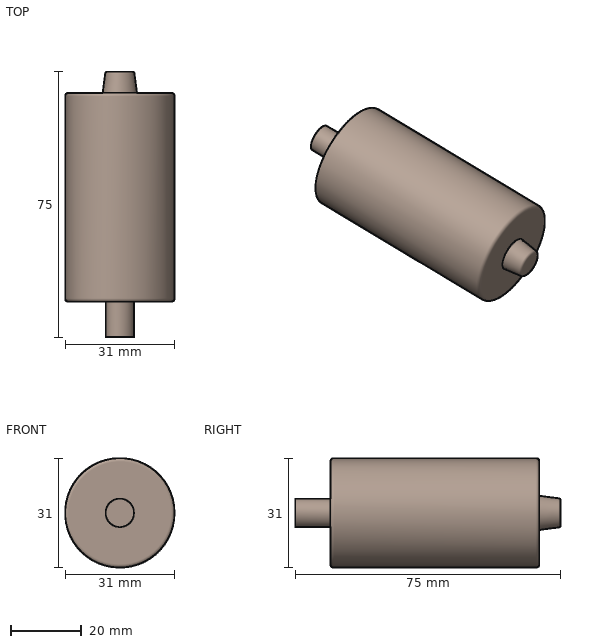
import cadquery as cq

total_length = 75.0
can_diameter = 31.0
can_edge_radius = 1.0
pin_diameter = 8.0
pin_length = 10.0
boss_length = 6.0
boss_base_diameter = 9.75
boss_tip_diameter = 8.2
boss_edge_radius = 0.7

can_length = total_length - pin_length - boss_length
pin_end_y = -total_length / 2
can_front_y = pin_end_y + pin_length
can_rear_y = can_front_y + can_length


def disc_at(y, diameter):
    """Circle around the Y axis, ready to extrude toward +Y."""
    return cq.Workplane("XZ", origin=(0, y, 0)).circle(diameter / 2)


def make_can():
    """Round can with both rims rounded and the plain pin standing on its front face."""
    can = disc_at(can_front_y, can_diameter).extrude(-can_length)
    can = can.edges("%CIRCLE").fillet(can_edge_radius)
    pin = disc_at(pin_end_y, pin_diameter).extrude(-pin_length)
    return can.union(pin)


def make_boss():
    """Tapered boss seated on the rear face, with a rounded tip edge."""
    boss = (
        disc_at(can_rear_y, boss_base_diameter)
        .workplane(offset=-boss_length)
        .circle(boss_tip_diameter / 2)
        .loft(ruled=True)
    )
    return boss.faces(">Y").edges().fillet(boss_edge_radius)


can = make_can()
boss = make_boss()

result = cq.Compound.makeCompound([can.val(), boss.val()])